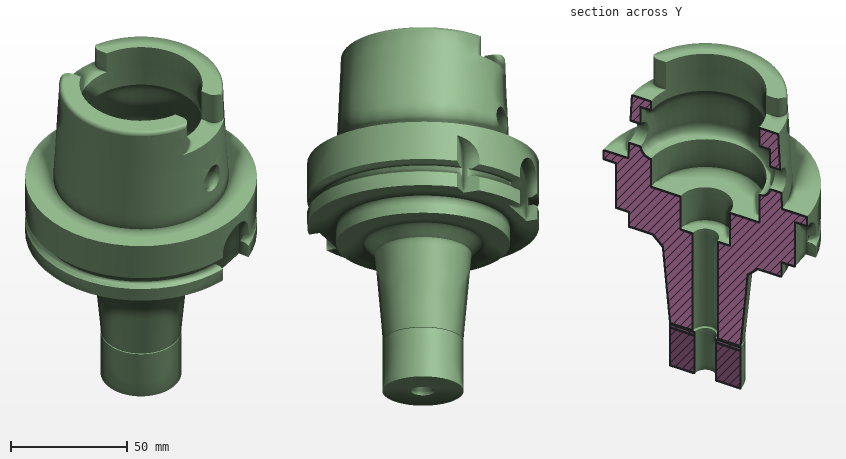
import cadquery as cq
import math

TOTAL_LENGTH = 155.0
NOSE_TOP = 20.5
RING_TOP = 22.6
NECK_BOTTOM = 23.0
NECK_TOP = 63.1
COLLAR_BOTTOM = 67.9
FLANGE_BOTTOM = 75.8
FLANGE_TOP = 105.1

NOSE_RADIUS = 17.5
NECK_BOTTOM_RADIUS = 17.4
NECK_TOP_RADIUS = 21.0
NECK_FLARE_RADIUS = 25.7
COLLAR_RADIUS = 37.5
FLANGE_RADIUS = 49.99
TAPER_BASE_RADIUS = 37.8
TAPER_RATIO = 0.05
RIM_ROUNDING = 2.0

GROOVE_BOTTOM = 83.0
GROOVE_TOP = 86.5
GROOVE_RADIUS = 45.9
LOWER_BEVEL_HEIGHT = 1.0
UPPER_BEVEL_HEIGHT = 1.4
BEVEL_ANGLE = 30.0

BORE_RADIUS = 26.5
BORE_LIP_BOTTOM = 134.8
UNDERCUT_RADIUS = 31.6
UNDERCUT_BOTTOM = 113.8
BORE_FLOOR = 93.6
RECESS_RADIUS = 12.1
RECESS_FLOOR = FLANGE_BOTTOM
HOLDER_HOLE_RADIUS = 6.0
NOSE_HOLE_RADIUS = 5.1

CROSS_HOLE_RADIUS = 6.0
CROSS_HOLE_Z = 119.7

SLOT_WIDTH = 20.2
SLOT_CORNER_RADIUS = 4.0
LEFT_SLOT_DEPTH = 10.0
RIGHT_SLOT_DEPTH = 15.0

KEYWAY_WIDTH = 20.0
KEYWAY_FLOOR_X = 44.0
KEYWAY_TOP = 100.0
NOTCH_EDGE_Y = 31.5
NOTCH_FLOOR_X = 31.5


def taper_radius(z):
    return TAPER_BASE_RADIUS - TAPER_RATIO * (z - FLANGE_TOP)


def holder_blank():
    """Turned outside of the holder, with the gripper groove and the rounded rim."""
    bevel_slope = math.tan(math.radians(BEVEL_ANGLE))
    lower_lip_radius = FLANGE_RADIUS - LOWER_BEVEL_HEIGHT / bevel_slope
    upper_lip_radius = FLANGE_RADIUS - UPPER_BEVEL_HEIGHT / bevel_slope
    rounding_start = TOTAL_LENGTH - RIM_ROUNDING
    rim_radius = taper_radius(rounding_start)
    rounding_offset = RIM_ROUNDING * (1 - math.sqrt(0.5))
    return (
        cq.Workplane("XZ")
        .moveTo(0, NECK_BOTTOM)
        .lineTo(NECK_BOTTOM_RADIUS, NECK_BOTTOM)
        .lineTo(NECK_TOP_RADIUS, NECK_TOP)
        .lineTo(NECK_FLARE_RADIUS, COLLAR_BOTTOM)
        .lineTo(COLLAR_RADIUS, COLLAR_BOTTOM)
        .lineTo(COLLAR_RADIUS, FLANGE_BOTTOM)
        .lineTo(FLANGE_RADIUS, FLANGE_BOTTOM)
        .lineTo(FLANGE_RADIUS, GROOVE_BOTTOM - LOWER_BEVEL_HEIGHT)
        .lineTo(lower_lip_radius, GROOVE_BOTTOM)
        .lineTo(GROOVE_RADIUS, GROOVE_BOTTOM)
        .lineTo(GROOVE_RADIUS, GROOVE_TOP)
        .lineTo(upper_lip_radius, GROOVE_TOP)
        .lineTo(FLANGE_RADIUS, GROOVE_TOP + UPPER_BEVEL_HEIGHT)
        .lineTo(FLANGE_RADIUS, FLANGE_TOP)
        .lineTo(TAPER_BASE_RADIUS, FLANGE_TOP)
        .lineTo(rim_radius, rounding_start)
        .threePointArc(
            (rim_radius - rounding_offset, TOTAL_LENGTH - rounding_offset),
            (rim_radius - RIM_ROUNDING, TOTAL_LENGTH),
        )
        .lineTo(0, TOTAL_LENGTH)
        .close()
        .revolve(360, (0, 0, 0), (0, 1, 0))
    )


def holder_bore():
    """Stepped bore: clamping bore with undercut, tube recess and through hole."""
    rounding = UNDERCUT_RADIUS - BORE_RADIUS
    rounding_offset = rounding * math.sqrt(0.5)
    return (
        cq.Workplane("XZ")
        .moveTo(0, NECK_BOTTOM)
        .lineTo(HOLDER_HOLE_RADIUS, NECK_BOTTOM)
        .lineTo(HOLDER_HOLE_RADIUS, RECESS_FLOOR)
        .lineTo(RECESS_RADIUS, RECESS_FLOOR)
        .lineTo(RECESS_RADIUS, BORE_FLOOR)
        .lineTo(BORE_RADIUS, BORE_FLOOR)
        .lineTo(BORE_RADIUS, UNDERCUT_BOTTOM - rounding)
        .threePointArc(
            (BORE_RADIUS + rounding_offset, UNDERCUT_BOTTOM - rounding_offset),
            (UNDERCUT_RADIUS, UNDERCUT_BOTTOM),
        )
        .lineTo(UNDERCUT_RADIUS, BORE_LIP_BOTTOM)
        .lineTo(BORE_RADIUS, BORE_LIP_BOTTOM)
        .lineTo(BORE_RADIUS, TOTAL_LENGTH)
        .lineTo(0, TOTAL_LENGTH)
        .close()
        .revolve(360, (0, 0, 0), (0, 1, 0))
    )


def cross_hole():
    return (
        cq.Workplane("YZ")
        .center(0, CROSS_HOLE_Z)
        .circle(CROSS_HOLE_RADIUS)
        .extrude(FLANGE_RADIUS, both=True)
    )


def drive_slot(side, depth):
    """Slot through the rim wall whose outer corners flare out in an arc onto the taper."""
    half_width = SLOT_WIDTH / 2
    rim_radius = taper_radius(TOTAL_LENGTH - depth / 2)
    corner_y = half_width + SLOT_CORNER_RADIUS
    center_distance = rim_radius - SLOT_CORNER_RADIUS
    corner_x = math.sqrt(center_distance ** 2 - corner_y ** 2)
    end_angle = math.atan2(corner_y, corner_x)
    middle_angle = (end_angle - math.pi / 2) / 2

    def arc_point(angle):
        return (
            corner_x + SLOT_CORNER_RADIUS * math.cos(angle),
            corner_y + SLOT_CORNER_RADIUS * math.sin(angle),
        )

    middle_x, middle_y = arc_point(middle_angle)
    end_x, end_y = arc_point(end_angle)
    return (
        cq.Workplane("XY", origin=(0, 0, TOTAL_LENGTH - depth))
        .moveTo(0, -half_width)
        .lineTo(side * corner_x, -half_width)
        .threePointArc((side * middle_x, -middle_y), (side * end_x, -end_y))
        .lineTo(side * FLANGE_RADIUS, -end_y)
        .lineTo(side * FLANGE_RADIUS, end_y)
        .lineTo(side * end_x, end_y)
        .threePointArc((side * middle_x, middle_y), (side * corner_x, half_width))
        .lineTo(0, half_width)
        .close()
        .extrude(depth)
    )


def flange_keyway(side, floor_x, center_y):
    """Round-ended keyway cut into the flange from the -X or +X side, open at the bottom."""
    end_radius = KEYWAY_WIDTH / 2
    arc_z = KEYWAY_TOP - end_radius
    return (
        cq.Workplane("YZ", origin=(side * floor_x, 0, 0))
        .moveTo(center_y - end_radius, FLANGE_BOTTOM)
        .lineTo(center_y - end_radius, arc_z)
        .threePointArc((center_y, KEYWAY_TOP), (center_y + end_radius, arc_z))
        .lineTo(center_y + end_radius, FLANGE_BOTTOM)
        .close()
        .extrude(side * FLANGE_RADIUS)
    )


def make_holder():
    holder = holder_blank().cut(holder_bore()).cut(cross_hole())
    for side, depth in ((-1, LEFT_SLOT_DEPTH), (1, RIGHT_SLOT_DEPTH)):
        holder = holder.cut(drive_slot(side, depth))
        holder = holder.cut(flange_keyway(side, KEYWAY_FLOOR_X, 0))
    notch_center_y = NOTCH_EDGE_Y + KEYWAY_WIDTH / 2
    return holder.cut(flange_keyway(-1, NOTCH_FLOOR_X, notch_center_y))


def make_sleeve(bottom, top):
    """Plain tube of the nose diameter between two heights."""
    return (
        cq.Workplane("XY", origin=(0, 0, bottom))
        .circle(NOSE_RADIUS)
        .circle(NOSE_HOLE_RADIUS)
        .extrude(top - bottom)
    )


holder = make_holder()
spacer_ring = make_sleeve(NOSE_TOP, RING_TOP)
nose = make_sleeve(0, NOSE_TOP)

result = cq.Compound.makeCompound([holder.val(), spacer_ring.val(), nose.val()])